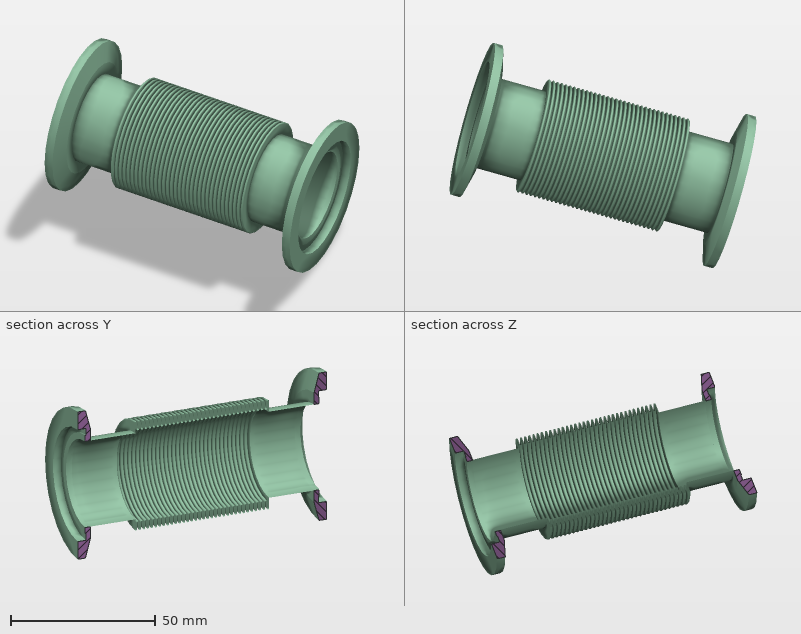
import cadquery as cq
import math

LENGTH = 94.5

WALL = 0.15
TUBE_RADIUS = 16.1
TUBE_BORE_RADIUS = TUBE_RADIUS - WALL

FLANGE_DIAMETER = 54.9
FLANGE_RADIUS = FLANGE_DIAMETER / 2
RIM_WIDTH = 3.0
HUB_RADIUS = 20.3
TAPER_ANGLE = 15.0
TAPER_WIDTH = (FLANGE_RADIUS - HUB_RADIUS) * math.tan(math.radians(TAPER_ANGLE))
FLANGE_WIDTH = RIM_WIDTH + TAPER_WIDTH
RECESS_RADIUS = 20.7
RECESS_DEPTH = 3.0
SEAT_RADIUS = 18.3
SEAT_HEIGHT = 0.24
SEAT_DEPTH = RECESS_DEPTH - SEAT_HEIGHT

BELLOWS_LENGTH = 50.8
CREST_RADIUS = 20.3
VALLEY_RADIUS = 17.0
CREST_COUNT = 34
FOLD_COUNT = 2 * CREST_COUNT - 1
FOLD_WIDTH = BELLOWS_LENGTH / FOLD_COUNT
FOLD_RADIUS = FOLD_WIDTH / 2
BELLOWS_END = BELLOWS_LENGTH / 2
TUBE_END = LENGTH / 2 - FLANGE_WIDTH


def revolve_about_x(profile):
    """Close a profile drawn in X and radius, and turn it about the X axis."""
    return profile.close().revolve(360, (0, 0, 0), (1, 0, 0))


def make_flange(turn):
    """Flange with its sealing face at x = -LENGTH / 2, then turned about Z by the given angle."""
    profile = cq.Workplane("XZ", origin=(-LENGTH / 2, 0, 0)).polyline([
        (0, RECESS_RADIUS),
        (0, FLANGE_RADIUS),
        (RIM_WIDTH, FLANGE_RADIUS),
        (FLANGE_WIDTH, HUB_RADIUS),
        (FLANGE_WIDTH, TUBE_BORE_RADIUS),
        (SEAT_DEPTH, TUBE_BORE_RADIUS),
        (SEAT_DEPTH, SEAT_RADIUS),
        (RECESS_DEPTH, SEAT_RADIUS),
        (RECESS_DEPTH, RECESS_RADIUS),
    ])
    return revolve_about_x(profile).rotate((0, 0, 0), (0, 0, 1), turn)


def draw_fold(profile, index, inset, direction):
    """Add one fold's side wall and half-round end, running along X in the given direction.

    Even folds are crests and odd folds are valleys. The inset moves the line
    into the wall, which tightens the crests and widens the valleys.
    """
    x = -BELLOWS_END + FOLD_RADIUS + index * FOLD_WIDTH
    if index % 2 == 0:
        arc_radius = FOLD_RADIUS - inset
        arc_center = CREST_RADIUS - FOLD_RADIUS
        arc_tip = arc_center + arc_radius
    else:
        arc_radius = FOLD_RADIUS + inset
        arc_center = VALLEY_RADIUS + FOLD_RADIUS
        arc_tip = arc_center - arc_radius
    arc_start = (x - direction * arc_radius, arc_center)
    arc_end = (x + direction * arc_radius, arc_center)
    return profile.lineTo(*arc_start).threePointArc((x, arc_tip), arc_end)


def make_bellows_tube():
    """Bellows and its two plain tube ends, drawn along the outside and back along the inside."""
    profile = cq.Workplane("XZ").moveTo(-TUBE_END, TUBE_RADIUS).lineTo(-BELLOWS_END, TUBE_RADIUS)
    for index in range(FOLD_COUNT):
        profile = draw_fold(profile, index, inset=0, direction=1)
    profile = profile.lineTo(BELLOWS_END, TUBE_RADIUS).lineTo(TUBE_END, TUBE_RADIUS)

    bore_corner = BELLOWS_END - WALL
    profile = profile.lineTo(TUBE_END, TUBE_BORE_RADIUS).lineTo(bore_corner, TUBE_BORE_RADIUS)
    for index in reversed(range(FOLD_COUNT)):
        profile = draw_fold(profile, index, inset=WALL, direction=-1)
    profile = profile.lineTo(-bore_corner, TUBE_BORE_RADIUS).lineTo(-TUBE_END, TUBE_BORE_RADIUS)
    return revolve_about_x(profile)


flanges = [make_flange(turn) for turn in (0, 180)]
bellows_tube = make_bellows_tube()

result = cq.Compound.makeCompound([*[flange.val() for flange in flanges], bellows_tube.val()])